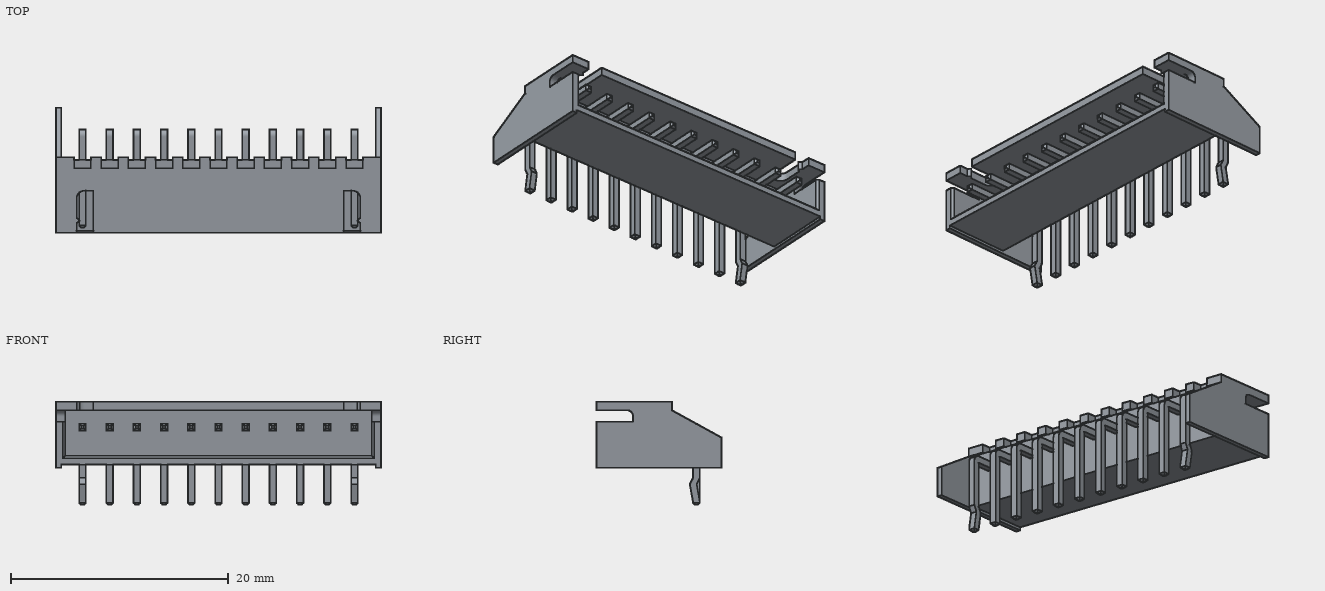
import cadquery as cq


PIN_COUNT = 11
PITCH = 2.5
PIN_SIZE = 0.64
PIN_TIP_TAPER = 0.2
PIN_ROW_Z = 3.75
PIN_FRONT_Y = 0.48
PIN_LEG_Y = 9.18
PIN_BOTTOM_Z = -3.4

KINK_OFFSET = 0.29
KINK_START_Z = -0.9
KINK_PEAK_Z = -1.5
KINK_END_Z = -3.1

WIDTH = 29.9
DEPTH = 11.5
HEIGHT = 6.1
ROOF_DEPTH = 6.95
ROOF_THICKNESS = 0.8
ROOF_OVERHANG = 0.25
SIDE_PLATE_THICKNESS = 0.5
SIDE_PLATE_REAR_HEIGHT = 2.8
SKIRT_HEIGHT = 0.3

CAVITY_DEPTH = 5.0
CAVITY_WALL = 0.85
CAVITY_FLOOR_Z = 1.1
MOUTH_CHAMFER = 0.2

WINDOW_DEPTH = 3.35
WINDOW_BOTTOM_Z = 4.25
WINDOW_RADIUS = 0.55

SLOT_EDGE = 1.9
SLOT_WIDTH = 1.55
SLOT_DEPTH = 3.87
SLOT_RADIUS = 0.75
BUMP_Y = 1.13
BUMP_HEIGHT = 0.3
BUMP_LENGTH = 0.5

NOTCH_WIDTH = 1.55
NOTCH_DEPTH = 1.0

ROOF_BOTTOM_Z = HEIGHT - ROOF_THICKNESS
PIN_POSITIONS = [(i - (PIN_COUNT - 1) / 2) * PITCH for i in range(PIN_COUNT)]


def box(x_range, y_range, z_range):
    """Box between two limits on each axis."""
    (x0, x1), (y0, y1), (z0, z1) = x_range, y_range, z_range
    return cq.Workplane("XY").box(x1 - x0, y1 - y0, z1 - z0, centered=False).translate((x0, y0, z0))


def side_plates():
    """End plates that run past the body at the rear with a sloping top, and below it as skirts."""
    profile = [
        (0, 0),
        (DEPTH, 0),
        (DEPTH, SIDE_PLATE_REAR_HEIGHT),
        (ROOF_DEPTH, ROOF_BOTTOM_Z),
        (ROOF_DEPTH, HEIGHT),
        (0, HEIGHT),
    ]
    plate = cq.Workplane("YZ").polyline(profile).close().extrude(SIDE_PLATE_THICKNESS)
    left = plate.translate((-WIDTH / 2, 0, 0))
    return left.union(left.mirror("YZ"))


def body_block():
    """Solid body with its roof overhanging the rear wall."""
    half = WIDTH / 2
    block = box((-half, half), (0, ROOF_DEPTH - ROOF_OVERHANG), (SKIRT_HEIGHT, HEIGHT))
    return block.union(box((-half, half), (0, ROOF_DEPTH), (ROOF_BOTTOM_Z, HEIGHT)))


def cavity():
    """Mating cavity with a chamfered mouth along the floor and the two sides."""
    half = WIDTH / 2 - CAVITY_WALL
    pocket = box((-half, half), (0, CAVITY_DEPTH), (CAVITY_FLOOR_Z, ROOF_BOTTOM_Z))
    mouth_height = ROOF_BOTTOM_Z - CAVITY_FLOOR_Z + MOUTH_CHAMFER
    mouth = (
        cq.Workplane("XZ", origin=(0, 0, ROOF_BOTTOM_Z - mouth_height / 2))
        .rect(2 * (half + MOUTH_CHAMFER), mouth_height)
        .workplane(offset=-MOUTH_CHAMFER)
        .center(0, MOUTH_CHAMFER / 2)
        .rect(2 * half, mouth_height - MOUTH_CHAMFER)
        .loft(ruled=True)
    )
    return pocket.union(mouth)


def side_windows():
    """Passage across both side walls under the roof, rounded at its upper rear corner."""
    window = box((-WIDTH / 2, WIDTH / 2), (0, WINDOW_DEPTH), (WINDOW_BOTTOM_Z, ROOF_BOTTOM_Z))
    return window.edges(">Y and >Z").fillet(WINDOW_RADIUS)


def keying_slots():
    """Roof slots, rounded at the outer rear corner, each narrowed by a bump on its outer edge."""
    outer_x = -WIDTH / 2 + SLOT_EDGE
    slot = box((outer_x, outer_x + SLOT_WIDTH), (0, SLOT_DEPTH), (ROOF_BOTTOM_Z, HEIGHT))
    slot = slot.edges("|Z and >Y and <X").fillet(SLOT_RADIUS)
    bump = (
        cq.Workplane("XY", origin=(outer_x, BUMP_Y, ROOF_BOTTOM_Z))
        .polyline([(0, -BUMP_LENGTH / 2), (BUMP_HEIGHT, 0), (0, BUMP_LENGTH / 2)])
        .close()
        .extrude(ROOF_THICKNESS)
    )
    slot = slot.cut(bump)
    return slot.union(slot.mirror("YZ"))


def rear_notches():
    """Notches through the rear edge of the roof, one above each pin."""
    notch = box(
        (-NOTCH_WIDTH / 2, NOTCH_WIDTH / 2),
        (ROOF_DEPTH - NOTCH_DEPTH, ROOF_DEPTH),
        (ROOF_BOTTOM_Z, HEIGHT),
    )
    notches = cq.Workplane("XY")
    for x in PIN_POSITIONS:
        notches = notches.add(notch.translate((x, 0, 0)))
    return notches.combine()


def pin(kinked):
    """Square pin bent down at the rear, rounded outside the bend and tapered at both tips."""
    half = PIN_SIZE / 2
    front_y, rear_y = PIN_LEG_Y - half, PIN_LEG_Y + half
    leg_front = [(front_y, PIN_BOTTOM_Z), (front_y, PIN_ROW_Z - half)]
    leg_rear = [(rear_y, PIN_ROW_Z + half), (rear_y, PIN_BOTTOM_Z)]
    if kinked:
        kink = [(KINK_END_Z, 0), (KINK_PEAK_Z, KINK_OFFSET), (KINK_START_Z, 0)]
        leg_front[1:1] = [(front_y - shift, z) for z, shift in kink]
        leg_rear[1:1] = [(rear_y - shift, z) for z, shift in reversed(kink)]
    arm = [(PIN_FRONT_Y, PIN_ROW_Z - half), (PIN_FRONT_Y, PIN_ROW_Z + half)]
    bar = cq.Workplane("YZ").polyline(leg_front + arm + leg_rear).close().extrude(half, both=True)
    bar = bar.edges("|X and >Y and >Z").fillet(PIN_SIZE)
    return bar.faces("<Y or <Z").chamfer(PIN_TIP_TAPER)


housing = body_block().cut(cavity()).union(side_plates())
housing = housing.cut(side_windows()).cut(keying_slots()).cut(rear_notches())

straight_pin = pin(kinked=False)
end_pin = pin(kinked=True)
result = housing
for x in PIN_POSITIONS[1:-1]:
    result = result.union(straight_pin.translate((x, 0, 0)))
for x in (PIN_POSITIONS[0], PIN_POSITIONS[-1]):
    result = result.union(end_pin.translate((x, 0, 0)))